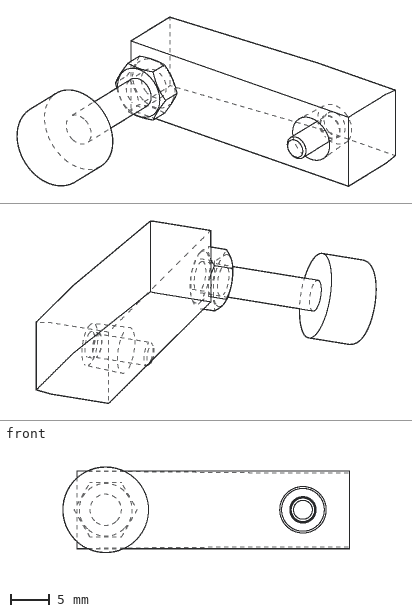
import cadquery as cq
import math

arm_length = 35.0
arm_depth = 10.0
arm_height = 10.0
overall_length = 36.8
overall_depth = 32.5

straight_depth = 8.0
back_inset = 0.25
slope_length = 22.5
end_depth = 8.35

pin_to_arm_end = 6.0
recess_mouth_diameter = 5.95
recess_floor_diameter = 5.5
recess_depth = 5.0

pin_diameter = 3.0
pin_collar_diameter = 3.4
pin_collar_top_diameter = 3.25
pin_collar_length = 1.0
pin_projection = 3.4
pin_chamfer = 0.3

nut_across_flats = 7.0
nut_thickness = 3.2
nut_face_diameter = 6.77
nut_chamfer_angle = 30

rod_diameter = 4.0
knob_diameter = 11.0
knob_length = 6.5
knob_fillet = 1.0

arm_right = overall_length - knob_diameter / 2
arm_left = arm_right - arm_length
pin_x = arm_right - pin_to_arm_end
half_height = arm_height / 2
knob_front = arm_depth - overall_depth
knob_back = knob_front + knob_length

def cylinder(x, diameter, y_start, y_end):
    """Cylinder along Y between two Y positions."""
    solid = cq.Solid.makeCylinder(
        diameter / 2, y_end - y_start, cq.Vector(x, y_start, 0), cq.Vector(0, 1, 0))
    return cq.Workplane(obj=solid)

def cone(x, start_diameter, end_diameter, y_start, y_end):
    """Truncated cone along Y between two Y positions."""
    solid = cq.Solid.makeCone(
        start_diameter / 2, end_diameter / 2, y_end - y_start,
        cq.Vector(x, y_start, 0), cq.Vector(0, 1, 0))
    return cq.Workplane(obj=solid)

def make_arm():
    """Rectangular arm with a drafted, sloped back and the pin recess."""
    side_profile = (
        cq.Workplane("YZ", origin=(arm_left, 0, 0))
        .polyline([
            (0, -half_height),
            (straight_depth, -half_height),
            (arm_depth, -half_height + back_inset),
            (arm_depth, half_height - back_inset),
            (straight_depth, half_height),
            (0, half_height),
        ])
        .close()
        .extrude(arm_length)
    )
    plan_profile = (
        cq.Workplane("XY", origin=(0, 0, -half_height))
        .polyline([
            (arm_left, 0),
            (arm_right, 0),
            (arm_right, arm_depth),
            (arm_left + slope_length, arm_depth),
            (arm_left, end_depth),
        ])
        .close()
        .extrude(arm_height)
    )
    recess = cone(pin_x, recess_mouth_diameter, recess_floor_diameter, 0, recess_depth)
    return side_profile.intersect(plan_profile).cut(recess)

def make_pin():
    """Pin standing on the recess floor, with a tapered collar at its foot."""
    collar_front = recess_depth - pin_collar_length
    shank = cylinder(pin_x, pin_diameter, -pin_projection, recess_depth).faces("<Y").chamfer(pin_chamfer)
    collar = cone(pin_x, pin_collar_top_diameter, pin_collar_diameter, collar_front, recess_depth)
    return shank.union(collar)

def make_nut():
    """Hexagonal nut with corners on X, conically chamfered at both ends."""
    hexagon_half_angle = math.radians(180 / 6)
    corner_diameter = nut_across_flats / math.cos(hexagon_half_angle)
    corner_radius = corner_diameter / 2
    face_radius = nut_face_diameter / 2
    chamfer_depth = (corner_radius - face_radius) * math.tan(math.radians(nut_chamfer_angle))
    hexagon = cq.Workplane("XZ").polygon(6, corner_diameter).extrude(nut_thickness)
    envelope = (
        cq.Workplane("XY")
        .polyline([
            (0, 0),
            (face_radius, 0),
            (corner_radius, -chamfer_depth),
            (corner_radius, chamfer_depth - nut_thickness),
            (face_radius, -nut_thickness),
            (0, -nut_thickness),
        ])
        .close()
        .revolve(360, (0, 0, 0), (0, 1, 0))
    )
    bore = cylinder(0, rod_diameter, -nut_thickness, 0)
    return hexagon.intersect(envelope).cut(bore)

def make_knob_screw():
    """Round knob with its rod, which passes through the nut up to the arm."""
    knob = cylinder(0, knob_diameter, knob_front, knob_back).faces("<Y").edges().fillet(knob_fillet)
    rod = cylinder(0, rod_diameter, knob_back, 0)
    return knob.union(rod)

arm = make_arm()
pin = make_pin()
nut = make_nut()
knob_screw = make_knob_screw()

result = cq.Compound.makeCompound([arm.val(), pin.val(), nut.val(), knob_screw.val()])